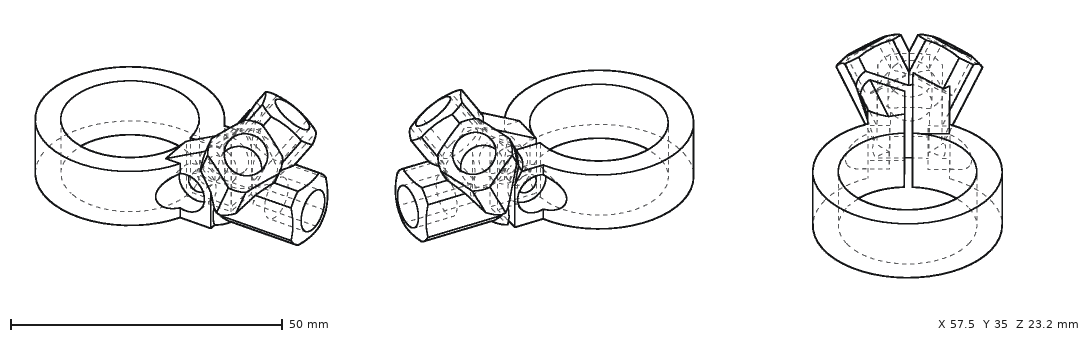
import cadquery as cq
import math

ring_outer_radius = 17.5
ring_inner_radius = 12.8
ring_height = 12.0
mid_height = ring_height / 2

lug_end_x = 22.5
lug_span = 15.1
slot_width = 1.5
slit_width = 0.8

rib_start_x = 12.65
rib_end_x = 25.9
rib_angle = 28.5

bolt_x = 17.1
bolt_hole_diameter = 4.0
bolt_head_diameter = 8.05
bolt_head_depth = 4.0

node = (lug_end_x, 0, mid_height)
socket_width = ring_height
socket_round_diameter = 14.0
socket_tip_radius = 18.0
tail_ball_radius = 5.0
tail_ball_offset = 5.0
rod_hole_diameter = 8.1
rod_hole_start = 9.5
socket_elevation = 50
socket_azimuth = 45
socket_roll = 22.5

beyond = 2 * lug_end_x


def aim_tilted(shape):
    """Aim a shape lying along +X from the origin up towards +X, -Y and carry it to the node."""
    rolled = shape.rotate((0, 0, 0), (1, 0, 0), socket_roll)
    raised = rolled.rotate((0, 0, 0), (0, 1, 0), -socket_elevation)
    return raised.rotate((0, 0, 0), (0, 0, 1), -socket_azimuth).translate(node)


def with_mirror_image(shape):
    return shape.union(shape.mirror("XZ"))


def make_socket():
    """Square bar with rounded edges and a domed tip, lying along +X."""
    profile_plane = cq.Workplane("YZ")
    bar = profile_plane.rect(socket_width, socket_width).extrude(socket_tip_radius)
    round_bar = profile_plane.circle(socket_round_diameter / 2).extrude(socket_tip_radius)
    tip = cq.Workplane("XY").sphere(socket_tip_radius)
    return bar.intersect(round_bar).intersect(tip)


def make_sockets():
    socket = make_socket()
    return with_mirror_image(aim_tilted(socket)).union(socket.translate(node))


def make_tail_balls():
    """Ball behind each tilted socket, cut flush with the base of the ring."""
    ball = cq.Workplane("XY", origin=(-tail_ball_offset, 0, 0)).sphere(tail_ball_radius)
    above_base = cq.Workplane("XY").box(beyond, beyond, beyond, centered=(False, True, False))
    return with_mirror_image(aim_tilted(ball)).intersect(above_base)


def make_rod_holes():
    hole = (
        cq.Workplane("YZ", origin=(rod_hole_start, 0, 0))
        .circle(rod_hole_diameter / 2)
        .extrude(socket_tip_radius - rod_hole_start)
    )
    return with_mirror_image(aim_tilted(hole)).union(hole.translate(node))


def make_lugs():
    return cq.Workplane("XY").box(lug_end_x, lug_span, ring_height, centered=(False, True, False))


def make_rib():
    rib_rise = (rib_end_x - rib_start_x) * math.tan(math.radians(rib_angle))
    return (
        cq.Workplane("XZ", origin=(0, -slot_width / 2, 0))
        .moveTo(rib_start_x, ring_height)
        .lineTo(rib_end_x, ring_height)
        .lineTo(rib_end_x, ring_height + rib_rise)
        .close()
        .extrude((lug_span - slot_width) / 2)
    )


def make_clamp_gap():
    """Slot along X from the bore to the node, turning into a slit that frees the +Y lug."""
    slot = cq.Workplane("XY").box(lug_end_x, slot_width, beyond, centered=(False, True, True))
    slit = cq.Workplane("XY").box(slit_width, beyond, beyond, centered=(False, False, True))
    return slot.union(slit.translate((lug_end_x - slit_width, 0, 0)))


def make_bolt_hole():
    """Through hole with a head recess in the outer face of each lug, also clearing the ring."""
    shank = (
        cq.Workplane("XZ", origin=(bolt_x, 0, mid_height))
        .circle(bolt_hole_diameter / 2)
        .extrude(beyond, both=True)
    )
    recess = (
        cq.Workplane("XZ", origin=(bolt_x, bolt_head_depth - lug_span / 2, mid_height))
        .circle(bolt_head_diameter / 2)
        .extrude(beyond)
    )
    return shank.union(with_mirror_image(recess))


ring = cq.Workplane("XY").circle(ring_outer_radius).extrude(ring_height)
bore = cq.Workplane("XY").circle(ring_inner_radius).extrude(beyond)

result = (
    ring.union(make_lugs())
    .union(make_rib())
    .union(make_sockets())
    .union(make_tail_balls())
    .cut(bore)
    .cut(make_clamp_gap())
    .cut(make_bolt_hole())
    .cut(make_rod_holes())
)